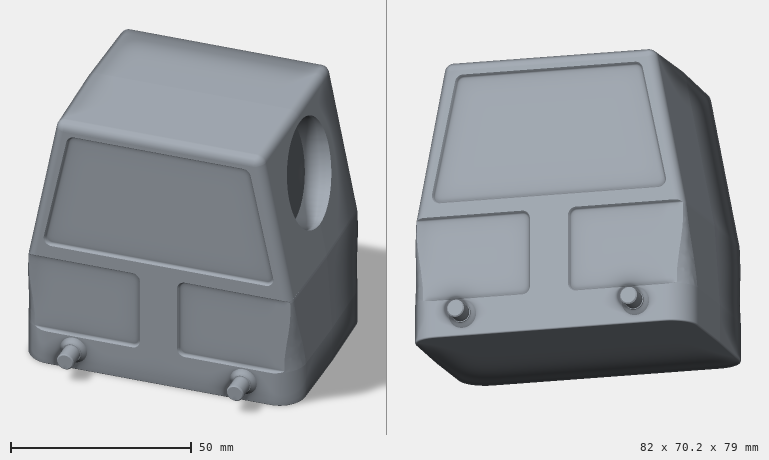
import cadquery as cq
import math

length = 82.0
height = 79.0
body_width = 56.1
width_over_pins = 70.2
draft = 1.0

base_height = 10.8
shoulder_height = 34.2
shoulder_half_length = 39.4
knuckle_height = 0.7
top_half_length = 30.7

base_corner_radius = 7.7
upper_edge_radius = 2.6
bottom_edge_radius = 0.4
waist_steps = 4

recess_depth = 1.0
recess_wall_angle = 30.0
recess_floor_fillet = 0.4
recess_corner_radius = 2.3
label_bottom = 38.3
label_top = 74.6
label_bottom_half_length = 34.35
label_top_half_length = 26.7
grip_bottom = 10.5
grip_top = 34.4
grip_inner_x = 5.5

pin_x = 25.0
pin_z = 6.15
pin_radius = 2.5
pin_tip_chamfer = 0.3
collar_radius = 2.7
collar_height = 1.6
collar_flare = 1.2

entry_diameter = 32.0
entry_z = 59.5
entry_depth = 8.2

half_width = body_width / 2
draft_inset = half_width * math.tan(math.radians(draft))
slope_run = shoulder_half_length - top_half_length
slope_rise = height - shoulder_height
slope_angle = math.degrees(math.atan2(slope_run, slope_rise))
waist_run = length / 2 - shoulder_half_length
waist_angle = math.degrees(math.atan2(waist_run, shoulder_height - base_height))


def both_sides(front_feature):
    """The feature together with its mirror image across the parting plane."""
    return front_feature.union(front_feature.mirror("XZ"))


def tented_section(z, half_length, corner_radius):
    """Level outline whose ends are drafted to both sides of the parting plane."""
    side_half_length = half_length - draft_inset
    outline = cq.Wire.makePolygon(
        [
            cq.Vector(half_length, 0, z),
            cq.Vector(side_half_length, half_width, z),
            cq.Vector(-side_half_length, half_width, z),
            cq.Vector(-half_length, 0, z),
            cq.Vector(-side_half_length, -half_width, z),
            cq.Vector(side_half_length, -half_width, z),
        ],
        close=True,
    )
    corners = [v for v in outline.Vertices() if abs(v.Y) > half_width / 2]
    return outline.fillet2D(corner_radius, corners)


def make_base():
    """Upright foot with large corner radii and a softened bottom rim."""
    section = tented_section(0, length / 2, base_corner_radius)
    base = cq.Workplane(cq.Solid.extrudeLinear(section, [], cq.Vector(0, 0, base_height)))
    return base.faces("<Z").edges().fillet(bottom_edge_radius)


def make_waist():
    """Waist whose corner radius eases from the base to the upper hood, under a soft bend."""
    bend_z = shoulder_height - knuckle_height
    bend_angle = (slope_angle + waist_angle) / 2
    bend_half_length = shoulder_half_length + knuckle_height * math.tan(math.radians(bend_angle))
    sections = []
    for step in range(waist_steps + 1):
        t = step / waist_steps
        ease = t * t * (3 - 2 * t)
        z = base_height + t * (bend_z - base_height)
        half_length = length / 2 + t * (bend_half_length - length / 2)
        radius = base_corner_radius + ease * (upper_edge_radius - base_corner_radius)
        sections.append(tented_section(z, half_length, radius))
    shoulder = tented_section(shoulder_height, shoulder_half_length, upper_edge_radius)
    waist = cq.Workplane(cq.Solid.makeLoft(sections))
    knuckle = cq.Workplane(cq.Solid.makeLoft([sections[-1], shoulder], True))
    return waist.union(knuckle)


def make_upper_hood():
    """Sloping hood, drafted away from the parting plane, with all outer edges rounded."""
    profile_bottom = shoulder_height - slope_rise
    profile = [
        (-shoulder_half_length - slope_run, profile_bottom),
        (shoulder_half_length + slope_run, profile_bottom),
        (top_half_length, height),
        (-top_half_length, height),
    ]
    front_half = cq.Workplane("XZ").polyline(profile).close().extrude(half_width, taper=draft)
    side_edges = front_half.faces("<Y").edges("not <Z")
    end_edges = front_half.faces(">Z").edges("<X or >X")
    front_half = front_half.newObject(side_edges.vals() + end_edges.vals()).fillet(upper_edge_radius)
    surplus = cq.Workplane().box(2 * length, 2 * body_width, 2 * shoulder_height)
    return both_sides(front_half.cut(surplus))


def recess(outline_points):
    """Panel cutter that enters the front side with sloping walls and a filleted floor."""
    block = cq.Workplane("XZ", origin=(0, -half_width, 0)).polyline(outline_points).close()
    block = block.extrude(-recess_depth).edges("|Y").fillet(recess_corner_radius)
    rim = block.faces("<Y").wires().toPending()
    cutter = rim.workplane().extrude(-recess_depth, combine=False, taper=recess_wall_angle)
    return cutter.faces(">Y").edges().fillet(recess_floor_fillet)


def make_recesses():
    """Cutters for one label panel and two grip panels that run out through the corners."""
    label = recess(
        [
            (-label_bottom_half_length, label_bottom),
            (label_bottom_half_length, label_bottom),
            (label_top_half_length, label_top),
            (-label_top_half_length, label_top),
        ]
    )
    grip = recess(
        [(grip_inner_x, grip_bottom), (length, grip_bottom), (length, grip_top), (grip_inner_x, grip_top)]
    )
    return both_sides(label.add(grip).add(grip.mirror("YZ")).combine())


def make_pin():
    """Front pin turned about its own axis, with a flared collar at its root."""
    reach = width_over_pins / 2 - half_width
    root_radius = collar_radius + collar_flare
    profile = (
        cq.Workplane("XY")
        .moveTo(0, recess_depth)
        .lineTo(root_radius, recess_depth)
        .lineTo(root_radius, 0)
        .lineTo(collar_radius, -collar_flare)
        .lineTo(collar_radius, -collar_height)
        .lineTo(pin_radius, -collar_height)
        .lineTo(pin_radius, -reach + pin_tip_chamfer)
        .lineTo(pin_radius - pin_tip_chamfer, -reach)
        .lineTo(0, -reach)
        .close()
    )
    return profile.revolve(360, (0, 0), (0, 1)).translate((0, -half_width, pin_z))


def make_cable_entry():
    """Round bore square to the +X slope."""
    entry_x = top_half_length + (height - entry_z) * slope_run / slope_rise
    outward = (math.cos(math.radians(slope_angle)), 0, math.sin(math.radians(slope_angle)))
    plane = cq.Plane(origin=(entry_x, 0, entry_z), xDir=(0, 1, 0), normal=outward)
    return cq.Workplane(plane).circle(entry_diameter / 2).extrude(entry_depth, both=True)


result = make_base().union(make_waist()).union(make_upper_hood())
result = result.cut(make_recesses()).cut(make_cable_entry())
for x in (-pin_x, pin_x):
    result = result.union(both_sides(make_pin().translate((x, 0, 0))))